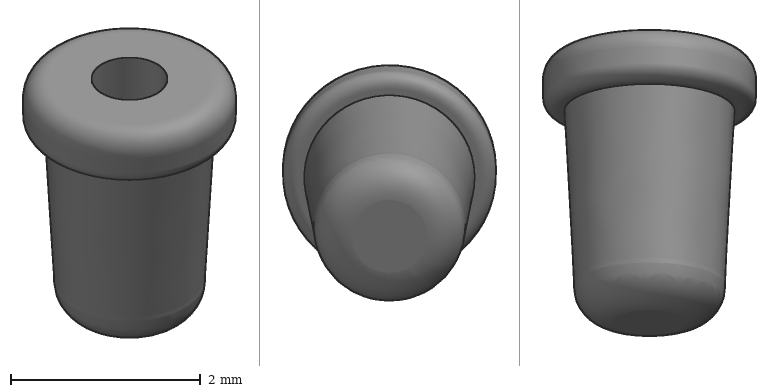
import cadquery as cq

total_height = 2.95
head_diameter = 2.25
head_height = 0.6
head_top_round = 0.25
head_bottom_round = 0.15
shank_top_diameter = 1.8
shank_tip_diameter = 1.6
tip_round = 0.4
tip_straight_height = 0.05
bore_diameter = 0.8
bore_depth = 2.0

head_radius = head_diameter / 2
shank_top_radius = shank_top_diameter / 2
tip_radius = shank_tip_diameter / 2
bore_radius = bore_diameter / 2
head_bottom_z = total_height - head_height
taper_start_z = tip_round + tip_straight_height


def make_shank():
    """Tapered shank above a short straight tip with a rounded lower edge."""
    tip = (
        cq.Workplane("XY")
        .circle(tip_radius)
        .extrude(taper_start_z)
        .faces("<Z")
        .edges()
        .fillet(tip_round)
    )
    taper = (
        cq.Workplane("XY", origin=(0, 0, taper_start_z))
        .circle(tip_radius)
        .workplane(offset=head_bottom_z - taper_start_z)
        .circle(shank_top_radius)
        .loft(ruled=True)
    )
    return tip.union(taper)


def make_head():
    """Round head with a larger rounding on its top edge than on its bottom edge."""
    head = cq.Workplane("XY", origin=(0, 0, head_bottom_z)).circle(head_radius).extrude(head_height)
    head = head.faces(">Z").edges().fillet(head_top_round)
    return head.faces("<Z").edges().fillet(head_bottom_round)


def make_bore():
    """Blind bore from the top, ending in a hemisphere."""
    sphere_center_z = total_height - bore_depth + bore_radius
    cylinder = (
        cq.Workplane("XY", origin=(0, 0, sphere_center_z))
        .circle(bore_radius)
        .extrude(total_height - sphere_center_z)
    )
    rounded_end = cq.Workplane("XY", origin=(0, 0, sphere_center_z)).sphere(bore_radius)
    return cylinder.union(rounded_end)


result = make_shank().union(make_head()).cut(make_bore())